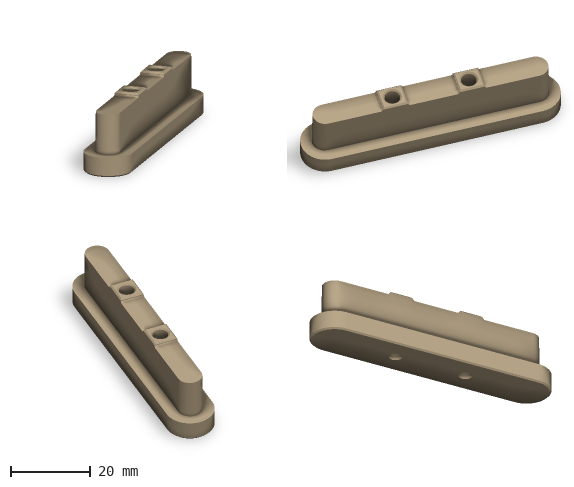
import cadquery as cq

length = 67.5
width = 12.5
base_height = 5.05
base_chamfer = 0.4

rib_top_z = 15.45
rib_width = 6.35
rib_foot_length = 61.7
rib_top_length = 61.3
straight_length = length - width

total_height = 16.5
pad_spacing = 20.0
pad_length = 6.55
pad_chamfer = 0.4
flare = 0.4

bottom_diameter = 3.4
top_diameter = 4.0
mouth_diameter = 4.8


def make_base():
    return (
        cq.Workplane("XY")
        .slot2D(length, width, 90)
        .extrude(base_height)
        .faces("<Z")
        .edges()
        .chamfer(base_chamfer)
    )


def rib_outline(plane, overall_length):
    """Two straight sides joined by end arcs that reach the overall length."""
    x = rib_width / 2
    y = straight_length / 2
    tip = overall_length / 2
    return (
        plane.moveTo(x, -y)
        .lineTo(x, y)
        .threePointArc((0, tip), (-x, y))
        .lineTo(-x, -y)
        .threePointArc((0, -tip), (x, -y))
        .close()
    )


def make_rib():
    foot = rib_outline(cq.Workplane("XY", origin=(0, 0, base_height)), rib_foot_length)
    top_plane = foot.workplane(offset=rib_top_z - base_height)
    return rib_outline(top_plane, rib_top_length).loft(ruled=True)


def make_pad(y):
    """Chamfered block with a sloping foot at each Y end."""
    block = (
        cq.Workplane("XY", origin=(0, y, rib_top_z))
        .rect(rib_width, pad_length)
        .extrude(total_height - rib_top_z)
        .faces(">Z")
        .edges()
        .chamfer(pad_chamfer)
    )
    half = pad_length / 2
    foot = (
        cq.Workplane("YZ", origin=(-rib_width / 2, y, rib_top_z))
        .moveTo(-half - flare, 0)
        .lineTo(half + flare, 0)
        .lineTo(half, flare)
        .lineTo(-half, flare)
        .close()
        .extrude(rib_width)
    )
    return block.union(foot)


def make_hole(y):
    """Revolved cutter: tapered bore with a conical mouth at the pad top."""
    bottom_radius = bottom_diameter / 2
    top_radius = top_diameter / 2
    mouth_radius = mouth_diameter / 2
    mouth_depth = mouth_radius - top_radius
    return (
        cq.Workplane("XZ", origin=(0, y, 0))
        .lineTo(bottom_radius, 0)
        .lineTo(top_radius, total_height - mouth_depth)
        .lineTo(mouth_radius, total_height)
        .lineTo(0, total_height)
        .close()
        .revolve(360, (0, 0, 0), (0, 1, 0))
    )


result = make_base().union(make_rib())
for pad_y in (-pad_spacing / 2, pad_spacing / 2):
    result = result.union(make_pad(pad_y)).cut(make_hole(pad_y))